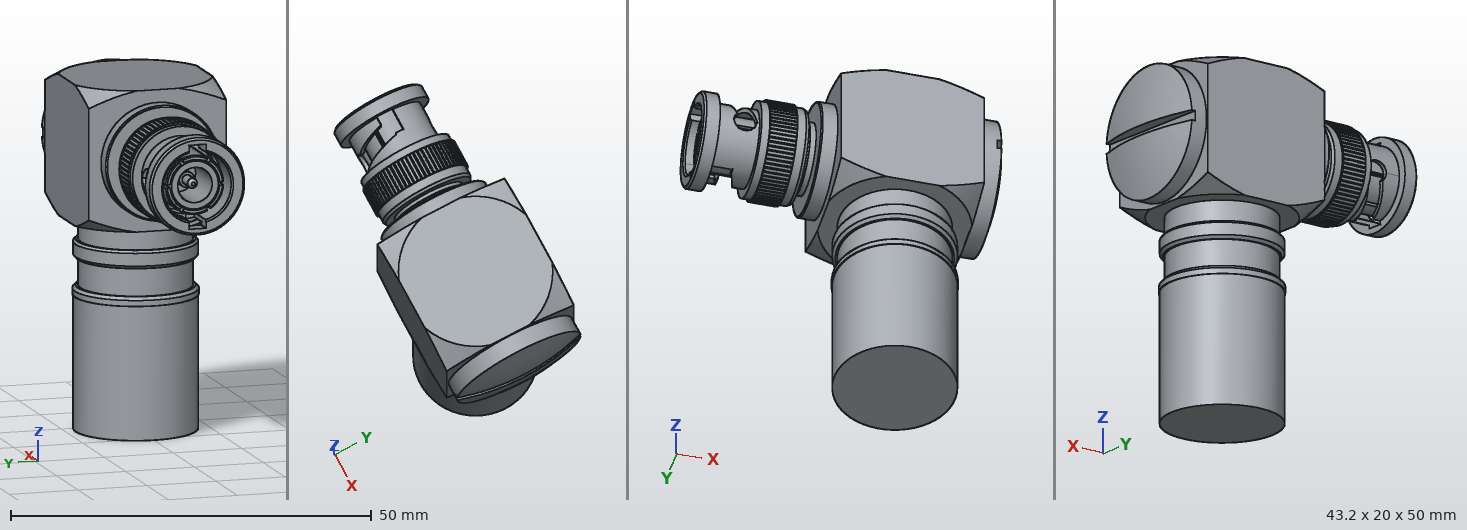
import cadquery as cq
import math


block_length = 20.5
block_width = 20.0
block_corner_radius = 10.7
block_corner_angle = 30.0
block_left = -block_length / 2
block_right = block_length / 2
block_bottom = -block_width / 2

cap_radius = 9.7
cap_rim_width = 2.55
cap_height = 3.95
cap_slot_width = 1.45
cap_slot_depth = 2.0

neck_radius = 8.0
ring_radius = 8.7
ring_top = 3.1
ring_height = 2.6
ring_top_chamfer = 0.35
ring_bottom_chamfer = 0.45
ferrule_top = 9.65
ferrule_chamfer = 0.45
ferrule_lip_radius = 8.8
ferrule_lip_end = 10.95
ferrule_radius = 8.7
sleeve_length = 30.0

plug_front = -29.0
front_rim_end = -26.75
nut_band_start = -20.8
knurl_start = -19.65
knurl_end = -15.75
nut_end = -14.0
stem_step = -13.45
flange_start = -12.6

rim_radius = 6.9
rim_chamfer = 0.3
nut_end_chamfer = 0.45
barrel_radius = 5.6
stem_radius = 5.3
stem_step_radius = 5.2
flange_radius = 8.2
flange_chamfer = 0.2

knurl_radius = 7.2
knurl_count = 72
knurl_groove_width = 0.15

bore_radius = 4.95
bore_chamfer = 0.25
bore_floor = -20.0

entry_width = 2.45
entry_reach = 5.95
entry_end = -23.55
track_start = -24.6
track_end = -22.35
track_inner = 4.6
track_outer = 6.5
track_width = 2.5
seat_center = -22.85
seat_radius = 1.6

insulator_front = -27.75
contact_bore = 2.5
insulator_radius = 3.4
finger_front = insulator_front
finger_inner_radius = 3.6
contact_radius = 4.2
contact_chamfer = 0.2
finger_count = 6
finger_slot_width = 0.5
finger_slot_end = -21.0
pin_base_radius = 1.1
pin_base_front = -24.0
pin_radius = 0.7
pin_tip_radius = 0.25
pin_tip_length = 0.5
pin_front = -27.0


def turned_about_x(points):
    """Revolve an (x, radius) outline about the plug axis."""
    return cq.Workplane("XY").polyline(points).close().revolve(360, (0, 0, 0), (1, 0, 0))


def turned_about_z(points):
    """Revolve a (radius, z) outline about the sleeve axis."""
    return cq.Workplane("XZ").polyline(points).close().revolve(360, (0, 0, 0), (0, 1, 0))


def make_block():
    half_height = block_width / 2
    cone_radius = block_corner_radius + half_height / math.tan(math.radians(block_corner_angle))
    limit = turned_about_z([
        (0, half_height),
        (block_corner_radius, half_height),
        (cone_radius, 0),
        (block_corner_radius, -half_height),
        (0, -half_height),
    ])
    return cq.Workplane("XY").box(block_length, block_width, block_width).intersect(limit)


def make_cap():
    rim_end = block_right + cap_rim_width
    crown = block_right + cap_height
    sphere_radius = (cap_radius**2 + (crown - rim_end) ** 2) / (2 * (crown - rim_end))
    mid_radius = cap_radius / 2
    mid_x = crown - sphere_radius + math.sqrt(sphere_radius**2 - mid_radius**2)
    cap = (
        cq.Workplane("XY")
        .moveTo(block_right, 0)
        .lineTo(block_right, cap_radius)
        .lineTo(rim_end, cap_radius)
        .threePointArc((mid_x, mid_radius), (crown, 0))
        .close()
        .revolve(360, (0, 0, 0), (1, 0, 0))
    )
    slot = (
        cq.Workplane("XY")
        .box(cap_slot_depth, 2 * cap_radius, cap_slot_width)
        .translate((crown - cap_slot_depth / 2, 0, 0))
    )
    return cap.cut(slot)


def make_cable_sleeve():
    def level(depth):
        return block_bottom - depth

    ring_bottom = ring_top + ring_height
    return turned_about_z([
        (0, level(0)),
        (neck_radius, level(0)),
        (neck_radius, level(ring_top)),
        (ring_radius - ring_top_chamfer, level(ring_top)),
        (ring_radius, level(ring_top + ring_top_chamfer)),
        (ring_radius, level(ring_bottom - ring_bottom_chamfer)),
        (ring_radius - ring_bottom_chamfer, level(ring_bottom)),
        (neck_radius, level(ring_bottom)),
        (neck_radius, level(ferrule_top)),
        (ferrule_lip_radius - ferrule_chamfer, level(ferrule_top)),
        (ferrule_lip_radius, level(ferrule_top + ferrule_chamfer)),
        (ferrule_lip_radius, level(ferrule_lip_end)),
        (ferrule_radius, level(ferrule_lip_end)),
        (ferrule_radius, level(sleeve_length)),
        (0, level(sleeve_length)),
    ])


def make_nut():
    """Turned outside of the coupling nut, stem and mounting flange, with the open front cavity."""
    return turned_about_x([
        (bore_floor, 0),
        (bore_floor, bore_radius),
        (plug_front + bore_chamfer, bore_radius),
        (plug_front, bore_radius + bore_chamfer),
        (plug_front, rim_radius - rim_chamfer),
        (plug_front + rim_chamfer, rim_radius),
        (front_rim_end, rim_radius),
        (front_rim_end, barrel_radius),
        (nut_band_start, barrel_radius),
        (nut_band_start, rim_radius),
        (knurl_start, rim_radius),
        (knurl_start, knurl_radius),
        (knurl_end, knurl_radius),
        (knurl_end, rim_radius),
        (nut_end - nut_end_chamfer, rim_radius),
        (nut_end, rim_radius - nut_end_chamfer / 2),
        (nut_end, stem_radius),
        (stem_step, stem_radius),
        (stem_step, stem_step_radius),
        (flange_start, stem_step_radius),
        (flange_start, flange_radius - flange_chamfer),
        (flange_start + flange_chamfer, flange_radius),
        (block_left, flange_radius),
        (block_left, 0),
    ])


def make_knurl_grooves():
    """Evenly spaced straight grooves, as deep as the step between the knurled band and the rim."""
    depth = knurl_radius - rim_radius
    return (
        cq.Workplane("YZ", origin=(knurl_start, 0, 0))
        .polarArray(knurl_radius, 0, 360, knurl_count)
        .rect(2 * depth, knurl_groove_width)
        .extrude(knurl_end - knurl_start)
    )


def make_ramp():
    """Helical band that turns from the top of the nut to its -Y side."""
    wall_depth = track_outer - track_inner
    advance = track_end - track_start
    pitch = 4 * advance
    helix = cq.Wire.makeHelix(pitch, advance, track_inner)
    profile = (
        cq.Workplane("XZ")
        .moveTo(track_inner, -track_width / 2)
        .rect(wall_depth, track_width, centered=(False, False))
    )
    band = profile.sweep(cq.Workplane(obj=helix), isFrenet=True)
    return (
        band.rotate((0, 0, 0), (0, 1, 0), 90)
        .rotate((0, 0, 0), (1, 0, 0), 180)
        .translate((track_start, 0, 0))
    )


def cut_bayonet_track(body):
    """Cut the entry slot, the quarter-turn ramp and the round seat through one side of the nut wall."""
    entry = (
        cq.Workplane("XY")
        .box(entry_end - plug_front, entry_width, entry_reach - track_inner)
        .translate(((plug_front + entry_end) / 2, 0, (entry_reach + track_inner) / 2))
    )
    seat = (
        cq.Workplane("XZ", origin=(seat_center, -track_inner, 0))
        .circle(seat_radius)
        .extrude(track_outer - track_inner)
    )
    return body.cut(make_ramp()).cut(entry).cut(seat)


def make_contact():
    """Slotted contact sleeve standing in the nut cavity, with the centre pin in its bore."""
    sleeve = turned_about_x([
        (bore_floor, contact_bore),
        (insulator_front, contact_bore),
        (insulator_front, insulator_radius),
        (finger_slot_end, insulator_radius),
        (finger_slot_end, finger_inner_radius),
        (finger_front, finger_inner_radius),
        (finger_front, contact_radius - contact_chamfer),
        (finger_front + contact_chamfer, contact_radius),
        (bore_floor, contact_radius),
    ])
    slot_inner = (insulator_radius + finger_inner_radius) / 2
    for index in range(finger_count):
        slot = (
            cq.Workplane("XY")
            .box(finger_slot_end - finger_front, contact_radius - slot_inner, finger_slot_width)
            .translate((
                (finger_front + finger_slot_end) / 2,
                (contact_radius + slot_inner) / 2,
                0,
            ))
            .rotate((0, 0, 0), (1, 0, 0), index * 360 / finger_count)
        )
        sleeve = sleeve.cut(slot)
    pin = turned_about_x([
        (bore_floor, 0),
        (pin_front, 0),
        (pin_front, pin_tip_radius),
        (pin_front + pin_tip_length, pin_radius),
        (pin_base_front, pin_radius),
        (pin_base_front, pin_base_radius),
        (bore_floor, pin_base_radius),
    ])
    return sleeve.union(pin)


nut = make_nut()
for side in range(2):
    nut = cut_bayonet_track(nut).rotate((0, 0, 0), (1, 0, 0), 180)
nut = nut.cut(make_knurl_grooves())

result = make_block().union(make_cap()).union(make_cable_sleeve()).union(nut).union(make_contact())